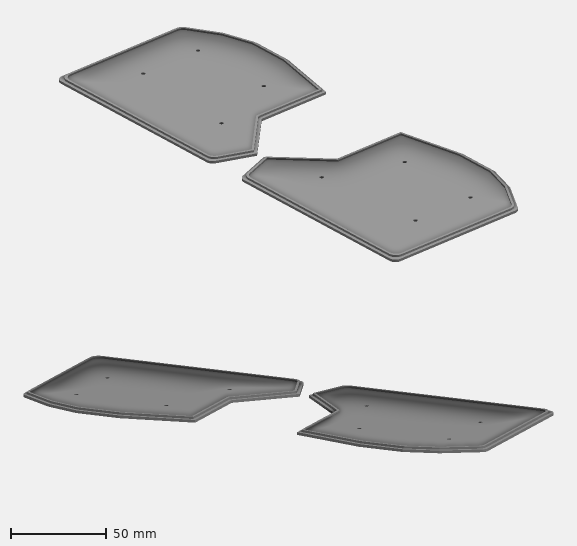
import cadquery as cq

pair_length = 269.0
plate_depth = 105.2
plate_height = 2.7
gap_between_plates = 5.5

ledge_height = 1.48
ledge_width = 1.75
lip_width = 1.2
recess_depth = 1.0
recess_floor = plate_height - recess_depth

outer_corner_radius = 4.0
inner_corner_radius = 4.8

left_x = -pair_length / 2
notch_x = -29.5
tip_x = -gap_between_plates / 2
back_y = plate_depth / 2
front_y = -plate_depth / 2

front_left_corner = (left_x, front_y)
back_left_corner = (left_x, 34.2)
front_right_corner = (-11.8, front_y)
outline = [
    front_left_corner,
    back_left_corner,
    (-113.5, 46.8),
    (-94.7, back_y),
    (-69.5, back_y),
    (notch_x, 44.0),
    (notch_x, -1.0),
    (tip_x, -28.0),
    front_right_corner,
]
rounded_corners = [front_left_corner, back_left_corner, front_right_corner]

hole_diameter = 2.4
left_holes_x = -108.1
back_holes_y = 23.7
hole_centers = [
    (left_holes_x, back_holes_y),
    (-56.0, back_holes_y),
    (left_holes_x, -14.8),
    (-39.8, -20.2),
]


def outline_prism(inset, bottom_z, top_z, corner_radius):
    """Prism on the outline moved inward by inset, with three corners rounded."""
    profile = cq.Workplane("XY", origin=(0, 0, bottom_z)).polyline(outline).close()
    if inset > 0:
        profile = profile.offset2D(-inset, "intersection")
    prism = profile.extrude(top_z - bottom_z)
    middle_z = (bottom_z + top_z) / 2
    for x, y in rounded_corners:
        corner_edge = cq.selectors.NearestToPointSelector((x, y, middle_z))
        prism = prism.edges("|Z").edges(corner_edge).fillet(corner_radius)
    return prism


def make_left_plate():
    """Plate with an outer ledge, a raised lip, a shallow recess and four through holes."""
    base = outline_prism(0, 0, ledge_height, outer_corner_radius)
    raised = outline_prism(ledge_width, 0, plate_height, inner_corner_radius)
    recess = outline_prism(ledge_width + lip_width, recess_floor, plate_height, inner_corner_radius)
    holes = cq.Workplane("XY").pushPoints(hole_centers).circle(hole_diameter / 2).extrude(plate_height)
    return base.union(raised).cut(recess).cut(holes).solids()


left_plate = make_left_plate()
right_plate = left_plate.mirror("YZ")

result = cq.Compound.makeCompound([left_plate.val(), right_plate.val()])